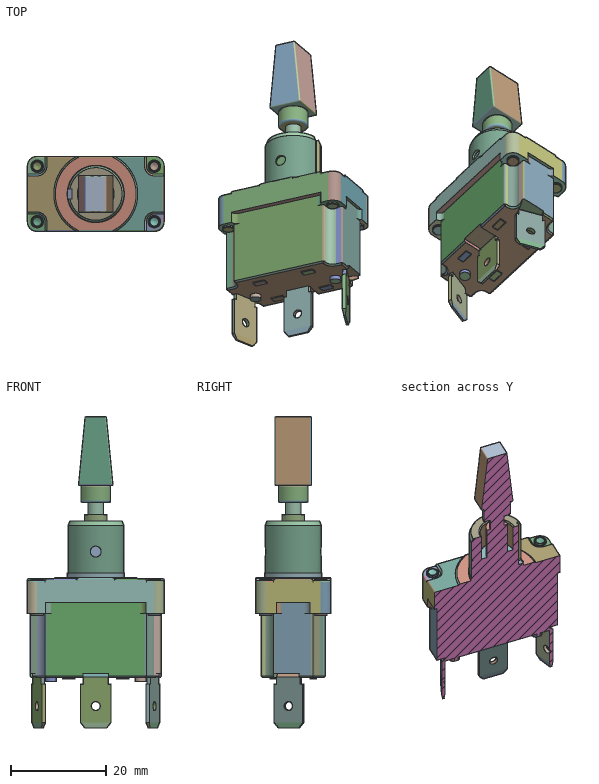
import cadquery as cq
import math

TOTAL_HEIGHT = 65.4

COVER_X = 28.8
COVER_Y = 15.8
COVER_CORNER_R = 2.1
COVER_BOTTOM = 24.05
DECK_Z = 31.4
COVER_EDGE_R = 0.3
DISC_R = 8.8
DISC_HEIGHT = 0.25
DISC_SLOPE_WIDTH = 0.3
POCKET_FLOOR_R = 1.65
POCKET_TOP_R = 2.0
POCKET_DEPTH = 0.4
WINDOW_TOP = 26.4
WINDOW_HALF_X = 10.5
WINDOW_FLAT_HALF_Y = 2.5
WINDOW_R = 1.2
WINDOW_BLOCK = 6.55
CORNER_X = COVER_X / 2 - COVER_CORNER_R
CORNER_Y = COVER_Y / 2 - COVER_CORNER_R
CORNERS = [(sx * CORNER_X, sy * CORNER_Y) for sx in (-1, 1) for sy in (-1, 1)]

RIVET_HEAD_D = 2.6
RIVET_HEAD_CHAMFER = 0.2
RIVET_DISH_D = 1.8
RIVET_DISH_DEPTH = 0.3
RIVET_TAIL_D = 2.6
RIVET_TAIL_HEIGHT = 0.45
RIVET_TAIL_CHAMFER = 0.1

HOUSING_X = 27.6
HOUSING_Y = 13.5
HOUSING_BOTTOM = 10.6
SCOOP_R = 1.65
HOUSING_EDGE_R = 0.3
HOUSING_BOTTOM_CHAMFER = 0.3
PAD_X = 2.7
PAD_Y = 1.45
PAD_HEIGHT = 0.25
PAD_CENTER_X = 5.7
PAD_CENTER_Y = 4.2
SCREW_D = 2.3
SCREW_HEIGHT = 0.85
SCREW_CENTER_X = 9.4

TAB_WIDTH = 6.4
TAB_THICKNESS = 0.8
TAB_SHOULDER_Z = 9.2
NECK_WIDTH = 5.3
TAB_TIP_WIDTH = 4.6
TAB_TIP_HEIGHT = 1.2
TAB_TIP_BEVEL = 0.2
TAB_HOLE_D = 1.8
TAB_HOLE_Z = 4.65
RECESS_TOP = 11.5
RECESS_REACH = 6.55
SIDE_TAB_ANGLE = 70.0
SIDE_TAB_X = 12.35
SIDE_TAB_Y = -1.05
MIDDLE_TAB_Y = -2.75

BUSHING_D = 11.85
BUSHING_TOP = 43.55
BUSHING_CHAMFER_WIDTH = 0.4
BUSHING_CHAMFER_HEIGHT = 1.0
BUSHING_RING_D = 12.05
BUSHING_RING_TOP = 32.6
BORE_D = 7.2
BORE_CHAMFER = 0.25
BORE_DEPTH = 6.55
KEYWAY_WIDTH = 2.1
KEYWAY_DEPTH = 1.0
KEYWAY_BOTTOM = 32.3
SIDE_HOLE_D = 2.3
SIDE_HOLE_Z = 37.1
SIDE_HOLE_DEPTH = 0.5

COLLAR_D = 4.8
COLLAR_TOP = 44.85
STEM_D = 3.3
HUB_D = 6.3
HUB_BOTTOM = 47.35
HUB_BOTTOM_FILLET = 0.45
HUB_TOP_FILLET = 0.25
GRIP_BOTTOM = 50.95
GRIP_BASE_X = 7.3
GRIP_TOP_X = 4.5
GRIP_Y = 7.7
GRIP_FILLET = 0.25

OVERLAP = 0.65
EDGE_SEARCH = 0.05


def cylinder(diameter, bottom, top, x=0.0, y=0.0):
    return cq.Workplane("XY", origin=(x, y, bottom)).circle(diameter / 2).extrude(top - bottom)


def block(size_x, size_y, bottom, top, x=0.0, y=0.0):
    return cq.Workplane("XY", origin=(x, y, bottom)).rect(size_x, size_y).extrude(top - bottom)


def housing():
    """Cross-shaped column with a round scoop in each corner, under the cover."""
    half_x, half_y = HOUSING_X / 2, HOUSING_Y / 2
    wall_x = CORNER_X - SCOOP_R
    wall_y = CORNER_Y - SCOOP_R
    arc_mid = (CORNER_X - SCOOP_R * math.sqrt(0.5), CORNER_Y - SCOOP_R * math.sqrt(0.5))
    column = block(2 * half_x, 2 * half_y, HOUSING_BOTTOM, COVER_BOTTOM + OVERLAP)
    scoop = (
        cq.Workplane("XY", origin=(0, 0, HOUSING_BOTTOM))
        .moveTo(wall_x, COVER_Y)
        .lineTo(wall_x, CORNER_Y)
        .threePointArc(arc_mid, (CORNER_X, wall_y))
        .lineTo(COVER_X, wall_y)
        .lineTo(COVER_X, COVER_Y)
        .close()
        .extrude(COVER_BOTTOM + OVERLAP - HOUSING_BOTTOM)
    )
    scoop_pair = scoop.union(scoop.mirror("YZ"))
    column = column.cut(scoop_pair).cut(scoop_pair.mirror("XZ"))
    for sx in (-1, 1):
        for sy in (-1, 1):
            for x, y in ((wall_x, half_y), (half_x, wall_y)):
                corner = cq.selectors.BoxSelector(
                    (sx * x - EDGE_SEARCH, sy * y - EDGE_SEARCH, HOUSING_BOTTOM),
                    (sx * x + EDGE_SEARCH, sy * y + EDGE_SEARCH, COVER_BOTTOM + OVERLAP),
                )
                column = column.edges("|Z").edges(corner).fillet(HOUSING_EDGE_R)
    return column.faces("<Z").edges().chamfer(HOUSING_BOTTOM_CHAMFER)


def cover_slab(top):
    """Rounded block on the cover outline with a rounded top edge."""
    slab = block(COVER_X, COVER_Y, COVER_BOTTOM, top).edges("|Z").fillet(COVER_CORNER_R)
    return slab.faces(">Z").edges().fillet(COVER_EDGE_R)


def corner_pocket(x, y):
    """Sloped-wall pocket round a corner centre, open to both cover sides."""
    floor = DECK_Z - POCKET_DEPTH
    reach = 2 * COVER_CORNER_R

    def outline(plane, radius):
        mid = -radius * math.sqrt(0.5)
        return (
            plane.moveTo(-radius, reach)
            .lineTo(-radius, 0)
            .threePointArc((mid, mid), (0, -radius))
            .lineTo(reach, -radius)
            .lineTo(reach, reach)
            .close()
        )

    below = outline(cq.Workplane("XY"), POCKET_FLOOR_R).extrude(-COVER_EDGE_R)
    floor_outline = outline(cq.Workplane("XY"), POCKET_FLOOR_R)
    pocket = outline(floor_outline.workplane(offset=POCKET_DEPTH), POCKET_TOP_R).loft(ruled=True).union(below)
    if x < 0:
        pocket = pocket.mirror("YZ")
    if y < 0:
        pocket = pocket.mirror("XZ")
    return pocket.translate((x, y, floor))


def cover():
    """Rounded cap with a raised disc, corner pockets and a window in each skirt side."""
    cap = cover_slab(DECK_Z - POCKET_DEPTH)
    deck = cover_slab(DECK_Z)
    for x, y in CORNERS:
        deck = deck.cut(corner_pocket(x, y))
    disc_top = DECK_Z + DISC_HEIGHT
    disc = cylinder(2 * DISC_R, COVER_BOTTOM, disc_top)
    disc = disc.faces(">Z").edges().chamfer(DISC_HEIGHT, DISC_SLOPE_WIDTH)
    cap = cap.union(deck).union(cover_slab(disc_top).intersect(disc))

    long_window = block(2 * WINDOW_HALF_X, WINDOW_BLOCK, COVER_BOTTOM, WINDOW_TOP)
    long_window = long_window.edges("|Z").fillet(WINDOW_R)
    short_window = block(WINDOW_BLOCK, 2 * (WINDOW_FLAT_HALF_Y + WINDOW_R), COVER_BOTTOM, WINDOW_TOP)
    short_window = short_window.edges("|Z").fillet(WINDOW_R)
    for side in (-1, 1):
        cap = cap.cut(long_window.translate((0, side * (HOUSING_Y + WINDOW_BLOCK) / 2, 0)))
        cap = cap.cut(short_window.translate((side * (HOUSING_X + WINDOW_BLOCK) / 2, 0, 0)))
    return cap


def rivet(x, y):
    """Dished head in the corner pocket and a short tail under the skirt."""
    head = cylinder(RIVET_HEAD_D, DECK_Z - POCKET_DEPTH - OVERLAP, DECK_Z, x, y)
    head = head.faces(">Z").edges().chamfer(RIVET_HEAD_CHAMFER)
    dish = cq.Workplane(
        cq.Solid.makeCone(0, RIVET_DISH_D / 2, RIVET_DISH_DEPTH, cq.Vector(x, y, DECK_Z - RIVET_DISH_DEPTH))
    )
    tail = cylinder(RIVET_TAIL_D, COVER_BOTTOM - RIVET_TAIL_HEIGHT, COVER_BOTTOM + OVERLAP, x, y)
    tail = tail.faces("<Z").edges().chamfer(RIVET_TAIL_CHAMFER)
    return head.cut(dish).union(tail)


def underside_details():
    """Four low pads and two screw ends under the housing."""
    top = HOUSING_BOTTOM + OVERLAP
    details = cq.Workplane("XY")
    for sx in (-1, 1):
        details = details.union(
            cylinder(SCREW_D, HOUSING_BOTTOM - SCREW_HEIGHT, top, sx * SCREW_CENTER_X, SIDE_TAB_Y)
        )
        for sy in (-1, 1):
            details = details.union(
                block(PAD_X, PAD_Y, HOUSING_BOTTOM - PAD_HEIGHT, top, sx * PAD_CENTER_X, sy * PAD_CENTER_Y)
            )
    return details


def terminal():
    """Tab with its outer face on Y = 0, facing -Y."""
    half_tab, half_neck, half_tip = TAB_WIDTH / 2, NECK_WIDTH / 2, TAB_TIP_WIDTH / 2
    blade = (
        cq.Workplane("XZ")
        .polyline(
            [
                (-half_tip, 0),
                (half_tip, 0),
                (half_tab, TAB_TIP_HEIGHT),
                (half_tab, TAB_SHOULDER_Z),
                (half_neck, TAB_SHOULDER_Z),
                (half_neck, RECESS_TOP),
                (-half_neck, RECESS_TOP),
                (-half_neck, TAB_SHOULDER_Z),
                (-half_tab, TAB_SHOULDER_Z),
                (-half_tab, TAB_TIP_HEIGHT),
            ]
        )
        .close()
        .extrude(-TAB_THICKNESS)
    )
    thickness_profile = (
        cq.Workplane("YZ")
        .polyline(
            [
                (TAB_TIP_BEVEL, 0),
                (TAB_THICKNESS - TAB_TIP_BEVEL, 0),
                (TAB_THICKNESS, TAB_TIP_HEIGHT),
                (TAB_THICKNESS, RECESS_TOP),
                (0, RECESS_TOP),
                (0, TAB_TIP_HEIGHT),
            ]
        )
        .close()
        .extrude(TAB_WIDTH, both=True)
    )
    hole = cq.Workplane("XZ", origin=(0, 0, TAB_HOLE_Z)).circle(TAB_HOLE_D / 2)
    return blade.intersect(thickness_profile).cut(hole.extrude(-TAB_THICKNESS))


def terminal_recess():
    """Slot in the housing floor in front of a tab, ending in a slope above its neck."""
    return (
        cq.Workplane("YZ")
        .polyline(
            [
                (0, TAB_SHOULDER_Z),
                (0, RECESS_TOP - TAB_THICKNESS),
                (TAB_THICKNESS, RECESS_TOP),
                (-RECESS_REACH, RECESS_TOP),
                (-RECESS_REACH, TAB_SHOULDER_Z),
            ]
        )
        .close()
        .extrude(NECK_WIDTH / 2, both=True)
    )


def bushing():
    """Bored sleeve with a base ring, a keyway on -X and a blind hole on each Y side."""
    sleeve = cylinder(BUSHING_D, DECK_Z, BUSHING_TOP)
    sleeve = sleeve.faces(">Z").edges().chamfer(BUSHING_CHAMFER_HEIGHT, BUSHING_CHAMFER_WIDTH)
    sleeve = sleeve.cut(cylinder(BORE_D, BUSHING_TOP - BORE_DEPTH, BUSHING_TOP))
    sleeve = sleeve.faces(">Z").edges(cq.selectors.RadiusNthSelector(0)).chamfer(BORE_CHAMFER)
    sleeve = sleeve.union(cylinder(BUSHING_RING_D, DECK_Z, BUSHING_RING_TOP))

    keyway_x = -(BUSHING_D / 2 - KEYWAY_DEPTH / 2)
    sleeve = sleeve.cut(block(KEYWAY_DEPTH, KEYWAY_WIDTH, KEYWAY_BOTTOM, BUSHING_TOP, keyway_x))

    floor_y = BUSHING_D / 2 - SIDE_HOLE_DEPTH
    for side in (-1, 1):
        hole = cq.Workplane("XZ", origin=(0, side * floor_y, SIDE_HOLE_Z)).circle(SIDE_HOLE_D / 2)
        sleeve = sleeve.cut(hole.extrude(-side * BUSHING_D))
    return sleeve


def lever():
    """Collar, stem, hub and a flat grip that narrows in X toward the top."""
    collar = cylinder(COLLAR_D, BUSHING_TOP - BORE_DEPTH - OVERLAP, COLLAR_TOP)
    stem = cylinder(STEM_D, COLLAR_TOP - OVERLAP, HUB_BOTTOM + OVERLAP)
    hub = cylinder(HUB_D, HUB_BOTTOM, GRIP_BOTTOM)
    hub = hub.faces("<Z").edges().fillet(HUB_BOTTOM_FILLET)
    hub = hub.faces(">Z").edges().fillet(HUB_TOP_FILLET)
    grip = (
        cq.Workplane("XZ")
        .polyline(
            [
                (-GRIP_BASE_X / 2, GRIP_BOTTOM),
                (GRIP_BASE_X / 2, GRIP_BOTTOM),
                (GRIP_TOP_X / 2, TOTAL_HEIGHT),
                (-GRIP_TOP_X / 2, TOTAL_HEIGHT),
            ]
        )
        .close()
        .extrude(GRIP_Y / 2, both=True)
        .edges()
        .fillet(GRIP_FILLET)
    )
    return collar.union(stem).union(hub).union(grip)


switch = housing().union(cover()).union(underside_details()).union(bushing()).union(lever())
for corner_x, corner_y in CORNERS:
    switch = switch.union(rivet(corner_x, corner_y))

TAB_PLACES = [
    (0.0, MIDDLE_TAB_Y, 0.0),
    (-SIDE_TAB_X, SIDE_TAB_Y, -SIDE_TAB_ANGLE),
    (SIDE_TAB_X, SIDE_TAB_Y, SIDE_TAB_ANGLE),
]
for tab_x, tab_y, angle in TAB_PLACES:
    place = (tab_x, tab_y, 0)
    tab = terminal().rotate((0, 0, 0), (0, 0, 1), angle).translate(place)
    recess = terminal_recess().rotate((0, 0, 0), (0, 0, 1), angle).translate(place)
    switch = switch.union(tab).cut(recess)

result = switch